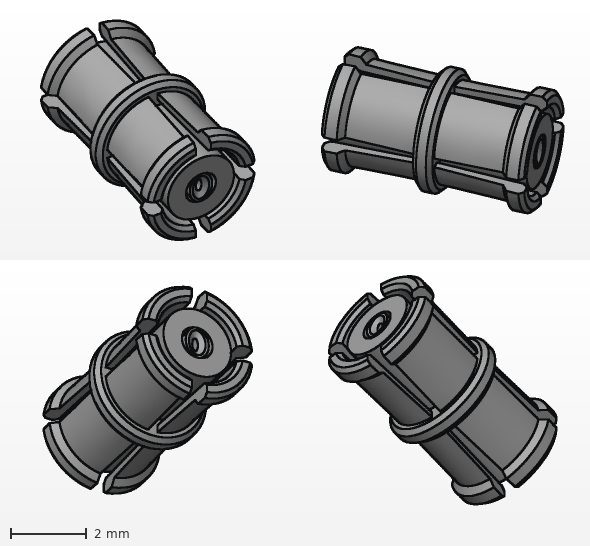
import cadquery as cq


length = 5.69
half_length = length / 2
collar_radius = 1.69
collar_width = 0.545
collar_chamfer = 0.135
barrel_root_radius = 1.42
barrel_tip_radius = 1.46
lip_radius = 1.67
lip_width = 0.46
lip_back_taper = 0.165
lip_chamfer = 0.12
bore_radius = 1.205

slot_root_width = 0.285
slot_mouth_width = 0.46
slot_angles = (0, 90)

insulator_recess = 0.12
insulator_radius = 1.02
contact_bore_radius = 0.46

tip_half_width = 0.345
tip_half_height = contact_bore_radius
tip_length = 0.57
socket_half_width = 0.085
socket_half_height = 0.195
socket_depth = 1.705
mouth_half_width = 0.25
mouth_half_height = 0.38
mouth_depth = 0.12

collar_half = collar_width / 2
insulator_length = length - 2 * insulator_recess
contact_half_length = insulator_length / 2
end_sides = (1, -1)


def x_cylinder(radius, x_start, x_end):
    return cq.Workplane("YZ", origin=(x_start, 0, 0)).circle(radius).extrude(x_end - x_start)


def x_ellipse_rod(half_width, half_height, x_start, x_end):
    start_plane = cq.Workplane("YZ", origin=(x_start, 0, 0))
    return start_plane.ellipse(half_width, half_height).extrude(x_end - x_start)


def finger_ring():
    """Ring of revolution for the +X end, from the collar face to the end."""
    lip_back = half_length - lip_width
    profile = (
        cq.Workplane("XY")
        .moveTo(collar_half, bore_radius)
        .lineTo(collar_half, barrel_root_radius)
        .lineTo(lip_back - lip_back_taper, barrel_tip_radius)
        .lineTo(lip_back, lip_radius)
        .lineTo(half_length - lip_chamfer, lip_radius)
        .lineTo(half_length, lip_radius - lip_chamfer)
        .lineTo(half_length, bore_radius + lip_chamfer)
        .lineTo(half_length - lip_chamfer, bore_radius)
        .close()
    )
    return profile.revolve(360, (0, 0, 0), (1, 0, 0))


def finger_slot():
    """Wedge across the whole +X end, widening toward the mouth."""
    return (
        cq.Workplane("XZ")
        .moveTo(collar_half, -slot_root_width / 2)
        .lineTo(half_length, -slot_mouth_width / 2)
        .lineTo(half_length, slot_mouth_width / 2)
        .lineTo(collar_half, slot_root_width / 2)
        .close()
        .extrude(collar_radius, both=True)
    )


def make_sleeve():
    collar = x_cylinder(collar_radius, -collar_half, collar_half).edges().chamfer(collar_chamfer)
    fingers = finger_ring()
    for angle in slot_angles:
        fingers = fingers.cut(finger_slot().rotate((0, 0, 0), (1, 0, 0), angle))
    sleeve = collar.union(fingers).union(fingers.mirror("YZ"))
    return sleeve.cut(x_cylinder(insulator_radius, -collar_half, collar_half))


def make_insulator():
    rod = x_cylinder(insulator_radius, -contact_half_length, contact_half_length)
    return rod.cut(x_cylinder(contact_bore_radius, -contact_half_length, contact_half_length))


def socket_mouth(side):
    """Elliptical funnel that narrows from the contact end to the socket."""
    end_x = side * contact_half_length
    inner_x = side * (contact_half_length - mouth_depth)
    outer = cq.Workplane("YZ", origin=(end_x, 0, 0)).ellipse(mouth_half_width, mouth_half_height)
    inner = cq.Workplane("YZ", origin=(inner_x, 0, 0)).ellipse(socket_half_width, socket_half_height)
    return cq.Workplane(cq.Solid.makeLoft([outer.wire().val(), inner.wire().val()], True))


def make_contact():
    shank_half = contact_half_length - tip_length
    contact = x_cylinder(contact_bore_radius, -shank_half, shank_half)
    for side in end_sides:
        end_x = side * contact_half_length
        socket_end_x = side * (contact_half_length - socket_depth)
        tip = x_ellipse_rod(tip_half_width, tip_half_height, side * shank_half, end_x)
        socket = x_ellipse_rod(socket_half_width, socket_half_height, socket_end_x, end_x)
        contact = contact.union(tip).cut(socket).cut(socket_mouth(side))
    return contact


sleeve = make_sleeve()
insulator = make_insulator()
contact = make_contact()

bodies = [body.solids().val() for body in (sleeve, insulator, contact)]
result = cq.Compound.makeCompound(bodies)